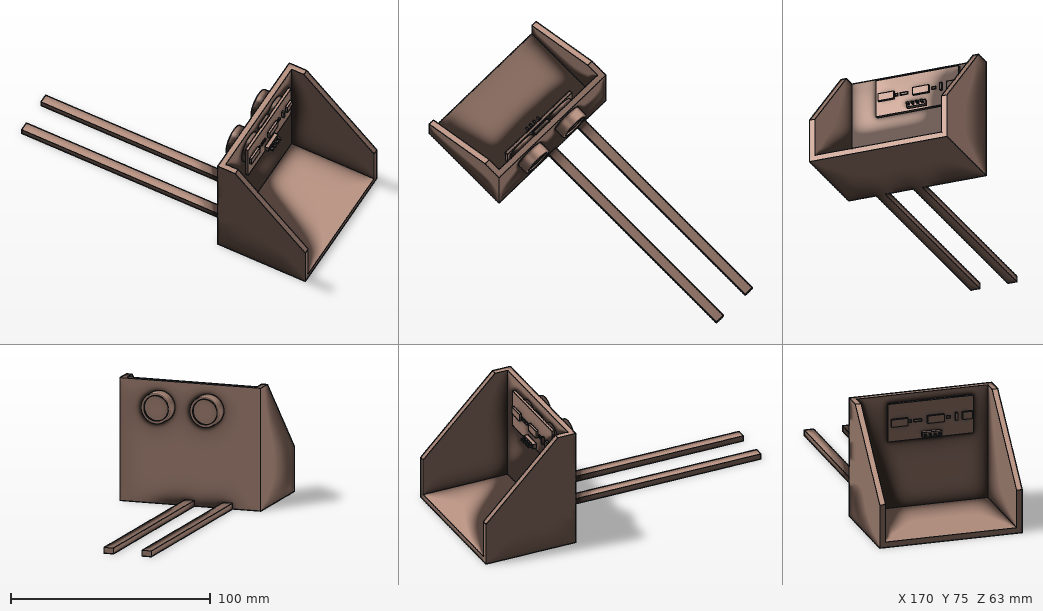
import cadquery as cq

HOUSING_DEPTH = 50.0
HOUSING_WIDTH = 75.0
HOUSING_HEIGHT = 63.0
WALL = 3.0
TOP_FLAT = 10.0
SLOPE_DROP = HOUSING_DEPTH - TOP_FLAT
BACK_HEIGHT = HOUSING_HEIGHT - SLOPE_DROP

PRONG_LENGTH = 120.0
PRONG_WIDTH = 5.0
PRONG_CENTRES_Y = (0.2, -20.0)

SENSOR_Y = 3.1
SENSOR_Z = 50.0

BOARD_FRONT_X = 6.0
BOARD_THICKNESS = 1.52
BOARD_BACK_X = BOARD_FRONT_X + BOARD_THICKNESS
BOARD_LENGTH = 45.0
BOARD_HEIGHT = 20.0

CAN_PITCH = 26.0
CAN_CENTRES_Y = (SENSOR_Y - CAN_PITCH / 2, SENSOR_Y + CAN_PITCH / 2)
CAN_DIAMETER = 16.0
CAN_HOLE_DIAMETER = 16.1
CAN_LENGTH = 12.0
CAN_FRONT_X = BOARD_FRONT_X - CAN_LENGTH
CAN_EDGE_RADIUS = 0.25
CAN_RECESS_DIAMETER = 13.0
CAN_RECESS_DEPTH = 1.0

CRYSTAL_LENGTH = 9.8
CRYSTAL_WIDTH = 3.4
CRYSTAL_HEIGHT = 2.4
CRYSTAL_FLANGE_RIM = 0.4
CRYSTAL_FLANGE_LENGTH = CRYSTAL_LENGTH + 2 * CRYSTAL_FLANGE_RIM
CRYSTAL_FLANGE_WIDTH = CRYSTAL_WIDTH + 2 * CRYSTAL_FLANGE_RIM
CRYSTAL_FLANGE_HEIGHT = 0.5
CRYSTAL_Z = SENSOR_Z + 6.0

CHIP_HEIGHT = 1.2
CHIP_WIDTH = 3.9
CHIPS = ((22.1, 5.1), (16.3, 1.1), (5.4, 8.65), (-13.6, 8.65))
PASSIVE_HEIGHT = 0.6
PASSIVE_WIDTH = 1.25
PASSIVES = ((12.2, 2.0), (-4.0, 4.2), (-8.1, 1.5))

PIN_COUNT = 4
PIN_PITCH = 2.54
PIN_SIZE = 0.9
PIN_LENGTH = 2.2
HEADER_LENGTH = PIN_COUNT * PIN_PITCH
HEADER_HEIGHT = 2.1
HEADER_WIDTH = 2.5
HEADER_Z = SENSOR_Z - BOARD_HEIGHT / 2 + HEADER_WIDTH


def block(x_start, x_length, y_centre, y_length, z_centre, z_length):
    """A box that starts at x_start and is centred on the given Y and Z."""
    box = cq.Workplane("XY").box(x_length, y_length, z_length, centered=(False, True, True))
    return box.translate((x_start, y_centre, z_centre))


def cylinder_along_x(x_start, length, diameter, y_centre):
    """A cylinder along +X at the height of the sensor."""
    plane = cq.Workplane("YZ", origin=(x_start, y_centre, SENSOR_Z))
    return plane.circle(diameter / 2).extrude(length)


def make_housing():
    side_profile = [
        (0, 0),
        (HOUSING_DEPTH, 0),
        (HOUSING_DEPTH, BACK_HEIGHT),
        (TOP_FLAT, HOUSING_HEIGHT),
        (0, HOUSING_HEIGHT),
    ]
    body = cq.Workplane("XZ").polyline(side_profile).close().extrude(HOUSING_WIDTH / 2, both=True)

    cavity_width = HOUSING_WIDTH - 2 * WALL
    cavity = cq.Workplane("XY").box(
        HOUSING_DEPTH, cavity_width, HOUSING_HEIGHT, centered=(False, True, False)
    )
    body = body.cut(cavity.translate((WALL, 0, WALL)))

    for y in CAN_CENTRES_Y:
        body = body.cut(cylinder_along_x(0, WALL, CAN_HOLE_DIAMETER, y))

    for y in PRONG_CENTRES_Y:
        body = body.union(block(-PRONG_LENGTH, PRONG_LENGTH, y, PRONG_WIDTH, WALL / 2, WALL))
    return body


def make_header():
    """A strip of square pins that point backward."""
    header = block(BOARD_BACK_X, HEADER_HEIGHT, SENSOR_Y, HEADER_LENGTH, HEADER_Z, HEADER_WIDTH)
    first_pin_y = SENSOR_Y - PIN_PITCH * (PIN_COUNT - 1) / 2
    for i in range(PIN_COUNT):
        pin_y = first_pin_y + i * PIN_PITCH
        pin = block(BOARD_BACK_X, HEADER_HEIGHT + PIN_LENGTH, pin_y, PIN_SIZE, HEADER_Z, PIN_SIZE)
        header = header.union(pin)
    return header


def make_board():
    board = block(BOARD_FRONT_X, BOARD_THICKNESS, SENSOR_Y, BOARD_LENGTH, SENSOR_Z, BOARD_HEIGHT)
    for y, length in CHIPS:
        board = board.union(block(BOARD_BACK_X, CHIP_HEIGHT, y, length, SENSOR_Z, CHIP_WIDTH))
    for y, length in PASSIVES:
        board = board.union(block(BOARD_BACK_X, PASSIVE_HEIGHT, y, length, SENSOR_Z, PASSIVE_WIDTH))
    return board.union(make_header())


def make_can(y_centre):
    can = cylinder_along_x(CAN_FRONT_X, CAN_LENGTH, CAN_DIAMETER, y_centre)
    can = can.faces("<X").edges().fillet(CAN_EDGE_RADIUS)
    return can.cut(cylinder_along_x(CAN_FRONT_X, CAN_RECESS_DEPTH, CAN_RECESS_DIAMETER, y_centre))


def make_crystal():
    """A round-ended case on a thin flange, both standing forward from the board."""
    plane = cq.Workplane("YZ", origin=(BOARD_FRONT_X, SENSOR_Y, CRYSTAL_Z))
    flange = plane.slot2D(CRYSTAL_FLANGE_LENGTH, CRYSTAL_FLANGE_WIDTH).extrude(-CRYSTAL_FLANGE_HEIGHT)
    case = plane.slot2D(CRYSTAL_LENGTH, CRYSTAL_WIDTH).extrude(-CRYSTAL_HEIGHT)
    return flange.union(case)


housing = make_housing()
board = make_board()
cans = [make_can(y) for y in CAN_CENTRES_Y]
crystal = make_crystal()

bodies = [housing, board, *cans, crystal]
result = cq.Compound.makeCompound([body.solids().val() for body in bodies])